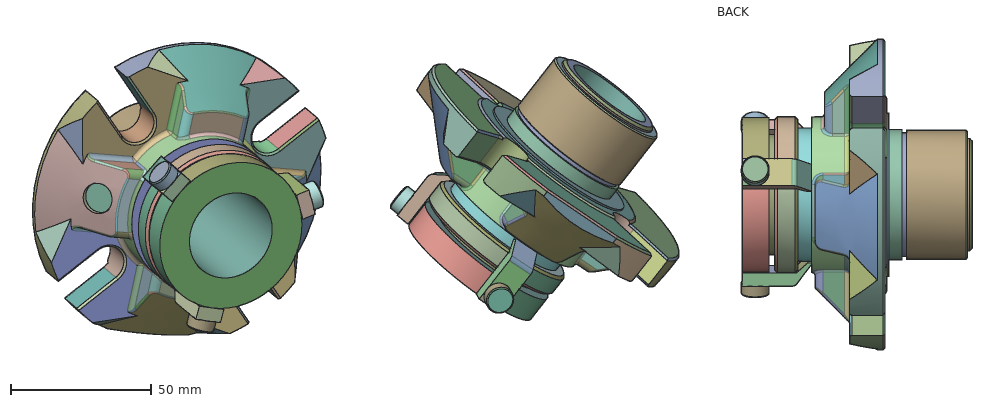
import cadquery as cq
import math


BODY_START = 1.7
GROOVE_START = 23.4
GROOVE_END = 24.9
BOSS_FACE = 29.7
BOSS_STEP = 30.4
FLANGE_FACE = 31.0
FLANGE_BACK = 43.7
HUB_END = 57.2
COLLAR_START = 62.1
COLLAR_END = 70.4
END_RING_START = 72.3
END_RING_END = 81.9

BORE_DIA = 32.0
TIP_DIA = 40.1
BODY_DIA = 46.0
SLEEVE_GROOVE_DIA = 44.1
SHOULDER_DIA = 46.5
BOSS_STEP_DIA = 58.1
BOSS_DIA = 68.5
BOSS_ROOT_DIA = 70.6
FLANGE_DIA = 110.9
HUB_DIA = 55.5
NECK_DIA = 47.6
COLLAR_DIA = 55.5
COLLAR_GROOVE_DIA = 42.8
END_RING_DIA = 55.0

TIP_CHAMFER = 1.0
BODY_CHAMFER = 0.5
COLLAR_CHAMFER = 1.0
FLANGE_EDGE_CHAMFER = 0.8

SLOT_COUNT = 4
SLOT_PITCH = 360 / SLOT_COUNT
SLOT_ANGLE = 57.8
SLOT_RADIUS = 6.7
SLOT_CENTRE = 37.1
EAR_ANGLE = SLOT_ANGLE - SLOT_PITCH / 2

CONE_START = 33.8
CONE_APEX = CONE_START + FLANGE_DIA / 2
EAR_WIDTH = 25.7
EAR_END = 56.0
SHORT_EAR_END = 52.7
SHORT_EAR = 1
EAR_CORNER_RADIUS = 2.9
EAR_EDGE_RADIUS = 0.9
EAR_ROOT_RADIUS = 1.1
FLANGE_ROOT_RADIUS = 1.8
FLANGE_ROOT_END = FLANGE_BACK + FLANGE_ROOT_RADIUS
FLANGE_ROOT_MID = FLANGE_ROOT_RADIUS * (1 - math.sqrt(0.5))

RELIEF_HALF_ANGLE = 20.4
RELIEF_WALL_TILT = 13.0
RELIEF_WALL_SLANT = 28.5

PORT_DIA = 11.0
PORT_X = 50.2
PORT_DEPTH = 2.5

FLAT_ANGLE = EAR_ANGLE - SLOT_PITCH
FLAT_DISTANCE = 53.1

CLIP_COUNT = 3
CLIP_ANGLE = 45.7
CLIP_WIDTH = 9.9
CLIP_INNER = 27.5
CLIP_OUTER = 32.5
CLIP_BEND_X = 63.1
CLIP_BEND_RADIUS = 2.2
CLIP_INNER_BEND_X = 62.5
CLIP_TOE_TOP = 24.4
CLIP_TOE_LENGTH = 1.3
PIN_DIA = 10.0
PIN_X = 77.3
PIN_OUTER = 36.8
PIN_CHAMFER = 0.4

CLEARANCE = 11.1
HUB_OVERLAP = 1.1
EDGE_TOLERANCE = 0.1


def around(shape, angle):
    """Turn a shape built along -Y to its angle around X."""
    return shape.rotate((0, 0, 0), (1, 0, 0), -angle)


def ring(start, end, dia):
    return cq.Workplane("YZ").workplane(offset=start).circle(dia / 2).extrude(end - start)


def revolve(points):
    """Turn a closed (x, radius) outline about the X axis."""
    return cq.Workplane("XY").polyline(points).close().revolve(360, (0, 0, 0), (1, 0, 0))


def make_sleeve():
    tip = ring(0, BODY_START, TIP_DIA).faces("<X").chamfer(TIP_CHAMFER)
    body = ring(BODY_START, GROOVE_START, BODY_DIA).faces("<X").chamfer(BODY_CHAMFER)
    groove = ring(GROOVE_START, GROOVE_END, SLEEVE_GROOVE_DIA)
    shoulder = ring(GROOVE_END, BOSS_FACE, SHOULDER_DIA)
    return tip.union(body).union(groove).union(shoulder)


def make_rear():
    neck = ring(HUB_END, COLLAR_START, NECK_DIA)
    collar = ring(COLLAR_START, COLLAR_END, COLLAR_DIA).edges().chamfer(COLLAR_CHAMFER)
    groove = ring(COLLAR_END, END_RING_START, COLLAR_GROOVE_DIA)
    end_ring = ring(END_RING_START, END_RING_END, END_RING_DIA)
    return neck.union(collar).union(groove).union(end_ring)


def make_rim_relief():
    """Space outside the two slanted walls that end the rim relief of a sector on -Y."""
    half_angle = math.radians(RELIEF_HALF_ANGLE)
    tilt = math.radians(RELIEF_WALL_TILT)
    slant = math.radians(RELIEF_WALL_SLANT)
    relief = cq.Workplane("XY").box(2 * FLANGE_DIA, 2 * FLANGE_DIA, 2 * FLANGE_DIA)
    for side in (1, -1):
        corner = (
            CONE_START,
            -FLANGE_DIA / 2 * math.cos(half_angle),
            side * FLANGE_DIA / 2 * math.sin(half_angle),
        )
        normal = (
            math.sin(slant),
            -math.cos(slant) * math.cos(tilt),
            -side * math.cos(slant) * math.sin(tilt),
        )
        wall = cq.Workplane(cq.Plane(origin=corner, normal=normal))
        relief = relief.intersect(wall.rect(2 * FLANGE_DIA, 2 * FLANGE_DIA).extrude(FLANGE_DIA))
    return relief


def make_slot():
    length = FLANGE_DIA / 2 + CLEARANCE - SLOT_CENTRE
    depth = FLANGE_BACK - BOSS_FACE
    base = cq.Workplane("YZ").workplane(offset=BOSS_FACE)
    end = base.center(-SLOT_CENTRE, 0).circle(SLOT_RADIUS).extrude(depth)
    sides = base.center(-SLOT_CENTRE - length / 2, 0).rect(length, 2 * SLOT_RADIUS).extrude(depth)
    return end.union(sides)


def is_slot_rim(edge):
    """True when one end of the edge lies well inside the flange rim."""
    ends = (edge.startPoint(), edge.endPoint())
    return min(math.hypot(p.y, p.z) for p in ends) < SLOT_CENTRE + SLOT_RADIUS


def make_flange():
    disc = ring(FLANGE_FACE, FLANGE_BACK, FLANGE_DIA)
    flat = cq.Workplane("XY").box(FLANGE_DIA, FLANGE_DIA, FLANGE_DIA)
    flat = flat.translate((FLANGE_FACE, -FLAT_DISTANCE - FLANGE_DIA / 2, 0))
    disc = disc.cut(around(flat, FLAT_ANGLE))
    slot = make_slot()
    slot_angles = [SLOT_ANGLE + i * SLOT_PITCH for i in range(SLOT_COUNT)]
    for angle in slot_angles:
        disc = disc.cut(around(slot, angle))
    disc = disc.faces("<X").edges().chamfer(FLANGE_EDGE_CHAMFER)
    slot_rims = [e for e in disc.faces(">X").edges().vals() if is_slot_rim(e)]
    disc = disc.newObject(slot_rims).chamfer(FLANGE_EDGE_CHAMFER)

    boss_seat = FLANGE_FACE + FLANGE_EDGE_CHAMFER
    boss = revolve([
        (BOSS_FACE, 0),
        (BOSS_FACE, BOSS_STEP_DIA / 2),
        (BOSS_STEP, BOSS_STEP_DIA / 2),
        (BOSS_STEP, BOSS_DIA / 2),
        (FLANGE_FACE, BOSS_ROOT_DIA / 2),
        (boss_seat, BOSS_ROOT_DIA / 2),
        (boss_seat, 0),
    ])
    for angle in slot_angles:
        boss = boss.cut(around(slot, angle))
    return disc.union(boss)


def make_ear(end):
    """Block on -Y with a flared root on the flange, rounded rear corners; the cone trims its top later."""
    half = EAR_WIDTH / 2
    foot = half + FLANGE_ROOT_RADIUS
    return (
        cq.Workplane("XZ")
        .moveTo(FLANGE_BACK, -foot)
        .threePointArc((FLANGE_BACK + FLANGE_ROOT_MID, -half - FLANGE_ROOT_MID), (FLANGE_ROOT_END, -half))
        .lineTo(end, -half)
        .lineTo(end, half)
        .lineTo(FLANGE_ROOT_END, half)
        .threePointArc((FLANGE_BACK + FLANGE_ROOT_MID, half + FLANGE_ROOT_MID), (FLANGE_BACK, foot))
        .close()
        .extrude(CONE_APEX - FLANGE_BACK + CLEARANCE)
        .edges(">X and |Y")
        .fillet(EAR_CORNER_RADIUS)
    )


def make_hub():
    """Hub with its ears; it is turned one pitch back after each ear so the next one also lands on -Y."""
    radius = HUB_DIA / 2
    hub = (
        cq.Workplane("XY")
        .moveTo(FLANGE_BACK - HUB_OVERLAP, 0)
        .lineTo(FLANGE_BACK - HUB_OVERLAP, radius + FLANGE_ROOT_RADIUS)
        .lineTo(FLANGE_BACK, radius + FLANGE_ROOT_RADIUS)
        .threePointArc((FLANGE_BACK + FLANGE_ROOT_MID, radius + FLANGE_ROOT_MID), (FLANGE_ROOT_END, radius))
        .lineTo(HUB_END, radius)
        .lineTo(HUB_END, 0)
        .close()
        .revolve(360, (0, 0, 0), (1, 0, 0))
    )
    ear_root = cq.selectors.BoxSelector(
        (FLANGE_ROOT_END + EDGE_TOLERANCE, -radius - EDGE_TOLERANCE, -EAR_WIDTH),
        (HUB_END - EDGE_TOLERANCE, -EAR_WIDTH / 2, EAR_WIDTH),
    )
    for i in range(SLOT_COUNT):
        end = SHORT_EAR_END if i == SHORT_EAR else EAR_END
        hub = hub.union(make_ear(end))
        hub = hub.edges(ear_root).fillet(EAR_ROOT_RADIUS)
        hub = around(hub, -SLOT_PITCH)
    return around(hub, EAR_ANGLE)


def is_ear_rim(edge):
    """True when the edge bounds the cone behind the flange."""
    middle = edge.positionAt(0.5)
    cone_radius = CONE_APEX - middle.x
    on_cone = abs(math.hypot(middle.y, middle.z) - cone_radius) < EDGE_TOLERANCE
    return on_cone and middle.x > FLANGE_BACK - EDGE_TOLERANCE


def make_body():
    """Flange, hub and ears under the cone, with the full-radius rim corners left beside the slots."""
    flange = make_flange()
    cone = revolve([
        (0, 0),
        (0, CONE_APEX),
        (HUB_END, CONE_APEX - HUB_END),
        (HUB_END, 0),
    ])
    body = flange.union(make_hub()).intersect(cone)
    ear_rims = [e for e in body.edges().vals() if is_ear_rim(e)]
    body = body.newObject(ear_rims).fillet(EAR_EDGE_RADIUS)

    corners = flange
    relief = make_rim_relief()
    for i in range(SLOT_COUNT):
        corners = corners.cut(around(relief, EAR_ANGLE + i * SLOT_PITCH))
    return body.union(corners)


def make_port():
    radius = CONE_APEX - PORT_X
    mouth = cq.Plane(origin=(PORT_X, -radius, 0), xDir=(0, 0, 1), normal=(1, -1, 0))
    port = cq.Workplane(mouth).workplane(offset=-PORT_DEPTH).circle(PORT_DIA / 2).extrude(CLEARANCE)
    return around(port, EAR_ANGLE)


def make_clip():
    outline = [
        (HUB_END, -NECK_DIA / 2),
        (HUB_END, -CLIP_TOE_TOP),
        (CLIP_BEND_X, -CLIP_OUTER),
        (END_RING_END, -CLIP_OUTER),
        (END_RING_END, -CLIP_INNER),
        (CLIP_INNER_BEND_X, -CLIP_INNER),
        (HUB_END + CLIP_TOE_LENGTH, -NECK_DIA / 2),
    ]
    strap = cq.Workplane("XY").polyline(outline).close().extrude(CLIP_WIDTH / 2, both=True)
    bend = cq.selectors.NearestToPointSelector((CLIP_BEND_X, -CLIP_OUTER, 0))
    strap = strap.edges("|Z").edges(bend).fillet(CLIP_BEND_RADIUS)
    pin = cq.Workplane("XZ", origin=(PIN_X, 0, 0)).workplane(offset=CLIP_OUTER)
    pin = pin.circle(PIN_DIA / 2).extrude(PIN_OUTER - CLIP_OUTER).faces("<Y").chamfer(PIN_CHAMFER)
    return strap.union(pin)


result = make_sleeve().union(make_body()).union(make_rear())
result = result.cut(make_port())
for i in range(CLIP_COUNT):
    result = result.union(around(make_clip(), CLIP_ANGLE + i * 360 / CLIP_COUNT))
result = result.cut(ring(0, END_RING_END, BORE_DIA))